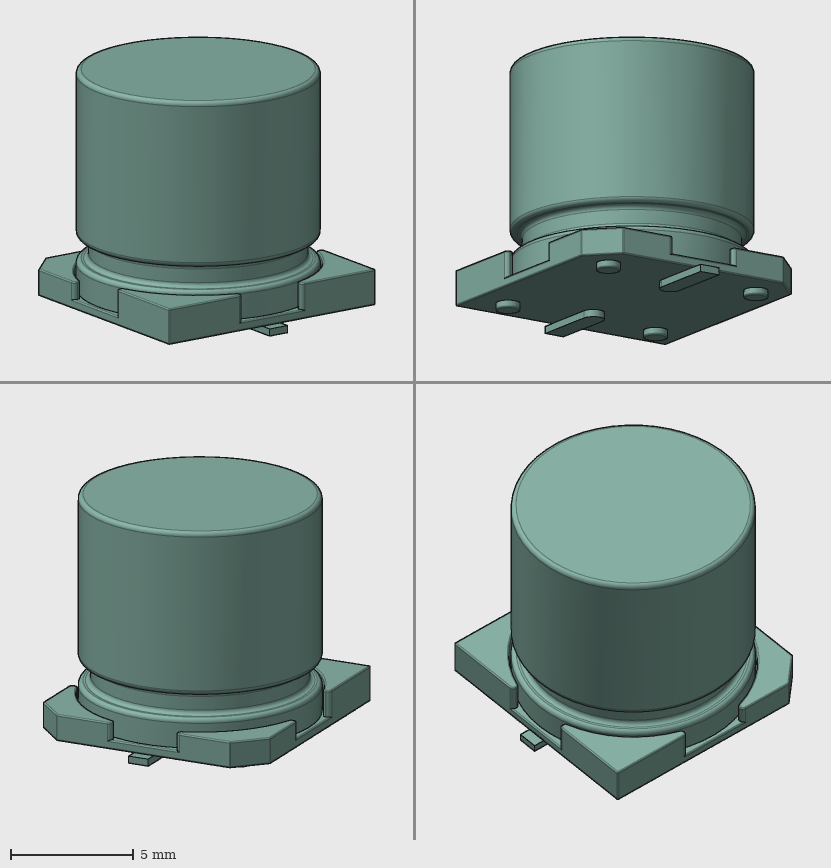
import cadquery as cq
import math

overall_length = 11.3
base_side = 10.4
overall_height = 10.0

lead_thickness = 0.3
lead_width = 0.9
lead_inner_end = 2.36
peg_diameter = 1.0
peg_offset = 3.65
peg_edge_radius = 0.06

base_bottom = lead_thickness
floor_top = 0.69
post_root = (base_bottom + floor_top) / 2
low_post_top = 1.44
high_post_top = 1.82
corner_chamfer = 1.23
notch_width = 2.96
pocket_radius = 5.1
post_corner_radius = 0.17
base_edge_radius = 0.06

can_diameter = 10.0
groove_diameter = 9.0
can_radius = can_diameter / 2
groove_radius = groove_diameter / 2
can_edge_radius = 0.2
groove_bottom = 1.97
groove_top = 2.96


def base_block(top):
    """Square block with both -X corners chamfered and its vertical edges eased, up to height top."""
    return (
        cq.Workplane("XY")
        .workplane(offset=base_bottom)
        .rect(base_side, base_side)
        .extrude(top - base_bottom)
        .edges("|Z and <X")
        .chamfer(corner_chamfer)
        .edges("|Z")
        .fillet(base_edge_radius)
    )


def corner_post(x_sign, y_sign, top):
    """One corner post, bounded by two notches and the round can pocket."""
    quadrant = (
        cq.Workplane("XY")
        .workplane(offset=post_root)
        .rect(base_side / 2, base_side / 2, centered=False)
        .extrude(top - post_root)
        .translate((notch_width / 2, notch_width / 2, 0))
    )
    pocket = cq.Workplane("XY").circle(pocket_radius).extrude(overall_height)
    if x_sign < 0:
        quadrant = quadrant.mirror("YZ")
    if y_sign < 0:
        quadrant = quadrant.mirror("XZ")
    post = base_block(top).intersect(quadrant).cut(pocket)

    pocket_reach = math.sqrt(pocket_radius**2 - (notch_width / 2) ** 2)
    for wall_end in (base_side / 2, pocket_reach):
        for x, y in ((wall_end, notch_width / 2), (notch_width / 2, wall_end)):
            edge_middle = (x_sign * x, y_sign * y, (post_root + top) / 2)
            post = post.edges(cq.selectors.NearestToPointSelector(edge_middle)).fillet(post_corner_radius)
    return post.faces(">Z").edges().fillet(base_edge_radius)


def moulded_base():
    base = base_block(floor_top).faces("<Z or >Z").edges().fillet(base_edge_radius)
    for x_sign, post_top in ((-1, low_post_top), (1, high_post_top)):
        for y_sign in (-1, 1):
            base = base.union(corner_post(x_sign, y_sign, post_top))
    return base


def can():
    """Revolved can: a foot, a groove with rounded shoulders, and the main cylinder."""
    r = can_edge_radius
    arc_inset = r * (1 - math.sqrt(0.5))
    shoulder = can_radius - r
    groove_arc_x = groove_radius + arc_inset
    can_arc_x = can_radius - arc_inset
    return (
        cq.Workplane("XZ")
        .moveTo(0, floor_top)
        .lineTo(can_radius, floor_top)
        .lineTo(can_radius, groove_bottom - r)
        .threePointArc((can_arc_x, groove_bottom - arc_inset), (shoulder, groove_bottom))
        .lineTo(groove_radius + r, groove_bottom)
        .threePointArc((groove_arc_x, groove_bottom + arc_inset), (groove_radius, groove_bottom + r))
        .lineTo(groove_radius, groove_top - r)
        .threePointArc((groove_arc_x, groove_top - arc_inset), (groove_radius + r, groove_top))
        .lineTo(shoulder, groove_top)
        .threePointArc((can_arc_x, groove_top + arc_inset), (can_radius, groove_top + r))
        .lineTo(can_radius, overall_height - r)
        .threePointArc((can_arc_x, overall_height - arc_inset), (shoulder, overall_height))
        .lineTo(0, overall_height)
        .close()
        .revolve(360, (0, 0, 0), (0, 1, 0))
    )


def lead(x_sign):
    """Flat lead with a square outer tip and a fully rounded inner end."""
    half_width = lead_width / 2
    tip = x_sign * overall_length / 2
    round_start = x_sign * (lead_inner_end + half_width)
    return (
        cq.Workplane("XY")
        .moveTo(tip, -half_width)
        .lineTo(round_start, -half_width)
        .threePointArc((x_sign * lead_inner_end, 0), (round_start, half_width))
        .lineTo(tip, half_width)
        .close()
        .extrude(lead_thickness)
    )


def support_pegs():
    return (
        cq.Workplane("XY")
        .rect(2 * peg_offset, 2 * peg_offset, forConstruction=True)
        .vertices()
        .circle(peg_diameter / 2)
        .extrude(base_bottom)
        .faces("<Z")
        .edges()
        .fillet(peg_edge_radius)
    )


result = moulded_base().union(can()).union(support_pegs())
for side in (-1, 1):
    result = result.union(lead(side))